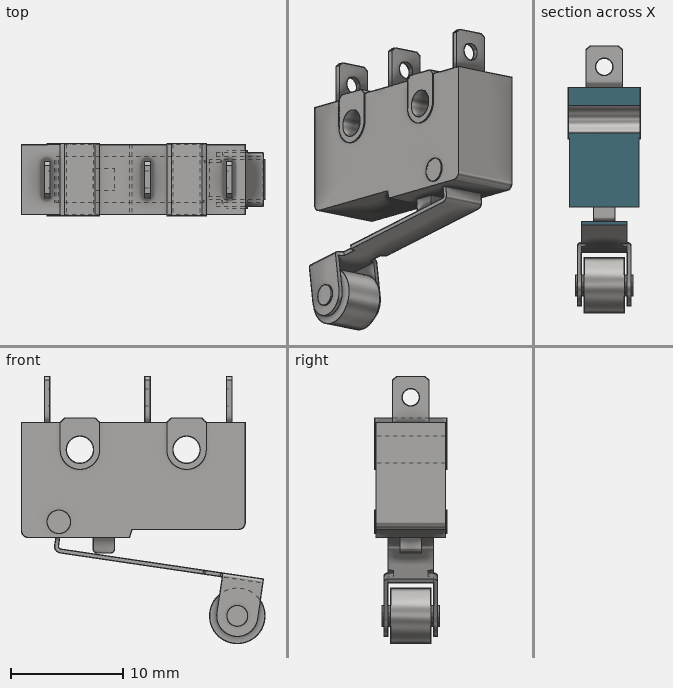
import cadquery as cq

overall_height = 23.8

case_length = 19.94
case_width = 6.23
case_height = 10.25
case_corner_radius = 0.62
step_height = 0.71
step_bottom_x = 9.63
step_top_x = 9.85

ear_positions = (5.2, 14.7)
ear_width = 3.52
ear_span_y = 6.45
ear_rise = 0.4
ear_hole_diameter = 2.4
ear_hole_z = -2.43

pivot_x = 3.33
pivot_z = -8.85
pivot_diameter = 2.1
pivot_length = 6.45

terminal_positions = (2.28, 11.23, 18.5)
terminal_thickness = 0.5
terminal_width = 3.25
terminal_height = 4.1
terminal_corner_y = 0.38
terminal_corner_z = 0.3
terminal_hole_diameter = 1.52
terminal_hole_drop = 1.85
terminal_root = 0.48

plunger_left_x = 6.38
plunger_width = 1.93
plunger_drop = 1.38
plunger_radius = 0.38

roller_diameter = 4.95
roller_width = 3.57
roller_x = 19.22
roller_z = terminal_height - overall_height + roller_diameter / 2
axle_diameter = 1.85
axle_length = 5.15

sheet = 0.35
lever_width = 4.1
lever_slope = 8.4
lever_heel = -17.0
root_height = 1.67
bend_radius = 0.24
lug_radius = 1.83
lug_height = 3.6
relief_length = 1.74
relief_depth = 0.52
relief_flare = 0.17


def side_plane(width, x=0, z=0):
    """Sketch plane facing -Y; extruding by the width gives a solid centred on Y = 0."""
    return cq.Workplane("XZ", origin=(x, width / 2, z))


def cylinder_y(x, z, diameter, length):
    """Cylinder along Y, centred on the mid-plane."""
    return side_plane(length, x, z).circle(diameter / 2).extrude(length)


def make_case():
    """Block with a raised underside on the right and rounded lower corners."""
    outline = [
        (0, 0),
        (case_length, 0),
        (case_length, step_height - case_height),
        (step_top_x, step_height - case_height),
        (step_bottom_x, -case_height),
        (0, -case_height),
    ]
    block = side_plane(case_width).polyline(outline).close().extrude(case_width)
    block = block.edges("|Y").edges("<X").edges("<Z").fillet(case_corner_radius)
    return block.edges("|Y").edges(">X").edges("<Z").fillet(case_corner_radius)


def make_ear(x):
    """Round-bottomed pad proud of both case sides, with a chamfered top above the case."""
    half = ear_width / 2
    return (
        side_plane(ear_span_y, x)
        .moveTo(-half, ear_hole_z)
        .lineTo(-half, 0)
        .lineTo(ear_rise - half, ear_rise)
        .lineTo(half - ear_rise, ear_rise)
        .lineTo(half, 0)
        .lineTo(half, ear_hole_z)
        .threePointArc((0, ear_hole_z - half), (-half, ear_hole_z))
        .close()
        .extrude(ear_span_y)
    )


def make_terminal(x):
    """Flat blade with clipped top corners and a hole through its thickness."""
    half = terminal_width / 2
    outline = [
        (-half, -terminal_root),
        (-half, terminal_height - terminal_corner_z),
        (terminal_corner_y - half, terminal_height),
        (half - terminal_corner_y, terminal_height),
        (half, terminal_height - terminal_corner_z),
        (half, -terminal_root),
    ]
    plane = cq.Workplane("YZ", origin=(x - terminal_thickness / 2, 0, 0))
    blade = plane.polyline(outline).close().extrude(terminal_thickness)
    hole = (
        plane.center(0, terminal_height - terminal_hole_drop)
        .circle(terminal_hole_diameter / 2)
        .extrude(terminal_thickness)
    )
    return blade.cut(hole)


def make_plunger():
    """Square button under the case, sunk into it by as much as it sticks out."""
    height = 2 * plunger_drop
    return (
        cq.Workplane("XY", origin=(plunger_left_x + plunger_width / 2, 0, -case_height))
        .box(plunger_width, plunger_width, height)
        .edges("|Y and <Z")
        .fillet(plunger_radius)
    )


def make_fork():
    """Two round-ended lugs bent down from a top strip, with the origin on the roller axis."""
    outer_width = lever_width + 2 * sheet
    outer = (
        side_plane(outer_width)
        .moveTo(-lug_radius, 0)
        .lineTo(-lug_radius, lug_height)
        .lineTo(lug_radius, lug_height)
        .lineTo(lug_radius, 0)
        .threePointArc((0, -lug_radius), (-lug_radius, 0))
        .close()
        .extrude(outer_width)
        .edges("|X and >Z")
        .fillet(sheet)
    )
    gap_top = lug_height - sheet
    gap_height = gap_top + lug_radius
    gap = cq.Workplane("XY").box(2 * lug_radius, lever_width, gap_height)
    return outer.cut(gap.translate((0, 0, gap_top - gap_height / 2)))


def make_strip():
    """Level arm with a root bent square to it and flared edge notches, in the fork's frame."""
    arm_bottom = lug_height - sheet
    outline = [
        (lever_heel, arm_bottom + root_height),
        (lever_heel, arm_bottom),
        (lug_radius, arm_bottom),
        (lug_radius, lug_height),
        (lever_heel + sheet, lug_height),
        (lever_heel + sheet, arm_bottom + root_height),
    ]
    strip = side_plane(lever_width).polyline(outline).close().extrude(lever_width)
    inner_bend = cq.selectors.NearestToPointSelector((lever_heel + sheet, 0, lug_height))
    outer_bend = cq.selectors.NearestToPointSelector((lever_heel, 0, arm_bottom))
    strip = strip.edges(inner_bend).fillet(bend_radius)
    strip = strip.edges(outer_bend).fillet(bend_radius + sheet)

    relief_end = -lug_radius
    relief_start = relief_end - relief_length
    edge_y = lever_width / 2
    for side in (-1, 1):
        notch = [
            (relief_start, side * edge_y),
            (relief_start + relief_flare, side * (edge_y - relief_depth)),
            (relief_end - relief_flare, side * (edge_y - relief_depth)),
            (relief_end, side * edge_y),
        ]
        cutter = cq.Workplane("XY", origin=(0, 0, arm_bottom)).polyline(notch).close().extrude(sheet)
        strip = strip.cut(cutter)
    return strip


def make_lever():
    """Strip and fork joined, then tilted down about the roller axis into place."""
    axis_start = (0, 0, 0)
    axis_end = (0, 1, 0)
    lever = make_strip().union(make_fork())
    return lever.rotate(axis_start, axis_end, lever_slope).translate((roller_x, 0, roller_z))


body = make_case().union(cylinder_y(pivot_x, pivot_z, pivot_diameter, pivot_length))
for ear_x in ear_positions:
    body = body.union(make_ear(ear_x))
for ear_x in ear_positions:
    body = body.cut(cylinder_y(ear_x, ear_hole_z, ear_hole_diameter, pivot_length))
for terminal_x in terminal_positions:
    body = body.union(make_terminal(terminal_x))

roller = cylinder_y(roller_x, roller_z, roller_diameter, roller_width)
axle = cylinder_y(roller_x, roller_z, axle_diameter, axle_length)

result = body.union(make_plunger()).union(make_lever()).union(axle).union(roller)